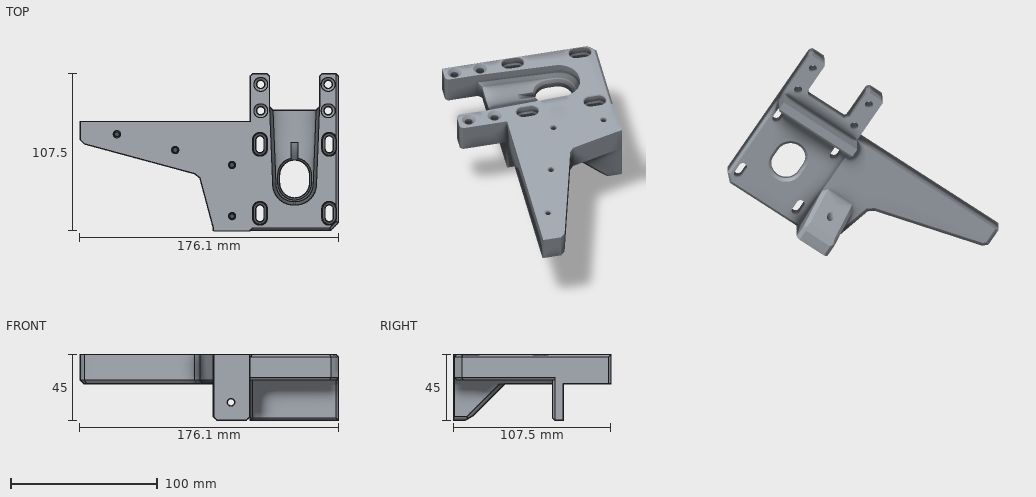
import cadquery as cq
import math

length = 176.1
depth = 107.5
top = 45.0

arm_bottom = 24.8
block_bottom = 27.5

arm_back = 74.8
arm_tip_front = 62.3
arm_tip_chamfer = 3.0
arm_bend_start = (78.0, 39.1)
arm_bend_end = (81.5, 36.3)
wall_tilt = math.radians(15)
arm_edge_chamfer = 2.6

block_left = 115.9
block_front = 0.5
block_corner = 5.3
block_chamfer = 1.8

foot_left = 90.7
foot_right = block_left
foot_base = 10.2
foot_front_chamfer = 0.5
foot_edge_chamfer = 2.6
foot_toe_start = 7.7
foot_toe_rise = 3.2
foot_hole_diameter = 5.0
foot_hole_x = 102.8
foot_hole_z = 12.3

panel_front = 67.5
panel_chamfer = 1.5

center_x = 146.2
gap_half_width = 17.0
gap_front = 82.5
gap_corner = 2.5
finger_chamfer = 1.8

pocket_floor = 35.4
pocket_arc_y = 32.0
pocket_half_width = 15.0
pocket_arc_radius = 14.3
ledge_width = 2.3
ledge_height = 2.6

opening_width = 20.3
opening_travel = 5.5
opening_y = 35.5
opening_chamfer = 1.4
opening_chamfer_height = 2.1
opening_relief = 2.0
ramp_width = 4.5
ramp_start = 60.4
ramp_end = 47.5
ramp_depth = 5.1

screw_diameter = 5.5
slot_head_width = 9.2
slot_head_depth = 5.5
finger_hole_x = (123.1, 169.0)
finger_hole_y = (82.0, 100.0)
countersink_diameter = 9.5
slot_x = (122.5, 169.8)
slot_y = (12.2, 59.2)
slot_travel = 6.0
slot_mouth_width = 10.2

pin_point = (25.0, 66.0)
blind_diameter = 3.3
tap_points = ((64.8, 55.3), (103.5, 45.0), (103.5, 10.2))
tap_relief_diameter = 4.0
tap_relief_depth = 1.0
blind_mouth_diameter = 5.0
blind_depth = 10.5


def prism(points, low, high):
    """Vertical prism over a plan outline."""
    return cq.Workplane("XY").workplane(offset=low).polyline(points).close().extrude(high - low)


def box(x_range, y_range, z_range):
    """Box between two limits on each axis."""
    (x0, x1), (y0, y1), (z0, z1) = x_range, y_range, z_range
    return prism([(x0, y0), (x1, y0), (x1, y1), (x0, y1)], z0, z1)


def bore(x, y, diameter, bottom):
    """Round cutter from the top face down to a level."""
    return cq.Workplane("XY").workplane(offset=bottom).center(x, y).circle(diameter / 2).extrude(top - bottom)


def countersink(x, y, mouth, diameter):
    """90 degree cone that opens at the top face."""
    height = (mouth - diameter) / 2
    cone = cq.Solid.makeCone(diameter / 2, mouth / 2, height)
    return cq.Workplane(cone.translate(cq.Vector(x, y, top - height)))


def oval(x, y, width, travel, low, high):
    """Vertical slot cutter, elongated along Y."""
    plane = cq.Workplane("XY").workplane(offset=low).center(x, y)
    return plane.slot2D(width + travel, width, 90).extrude(high - low)


def oval_mouth(x, y, width, travel, level, rise, inset):
    """Chamfer cutter for the rim of an oval at a level; a negative rise points it down into the part."""
    plane = cq.Workplane("XY").workplane(offset=level).center(x, y)
    taper = math.degrees(math.atan2(inset, abs(rise)))
    return plane.slot2D(width + travel, width, 90).extrude(rise, taper=taper)


def make_arm():
    wall_end_x = arm_bend_end[0] + (arm_bend_end[1] - block_front) * math.tan(wall_tilt)
    outline = [
        (0, arm_back),
        (0, arm_tip_front),
        (arm_tip_chamfer, arm_tip_front - arm_tip_chamfer),
        arm_bend_start,
        arm_bend_end,
        (wall_end_x, block_front),
        (block_left, block_front),
        (block_left, arm_back),
    ]
    arm = prism(outline, arm_bottom, top)
    return arm.faces("<Z").edges("not (>X or <Y or >Y)").chamfer(arm_edge_chamfer)


def make_foot():
    column_back = arm_bend_end[1] - (foot_left - arm_bend_end[0]) / math.tan(wall_tilt)
    side = [
        (0, 0),
        (foot_base, 0),
        (foot_base + block_bottom, block_bottom),
        (column_back, block_bottom),
        (column_back, top),
        (0, top),
    ]
    side_plane = cq.Workplane("YZ").workplane(offset=foot_left)
    foot = side_plane.polyline(side).close().extrude(foot_right - foot_left)
    foot = foot.faces("<Z or <(0,-1,1)").edges("|Y or |(0,1,1)").chamfer(foot_edge_chamfer)
    foot = foot.edges("<Y and |Z").chamfer(foot_front_chamfer)
    toe = [(foot_toe_start, 0), (foot_base + foot_toe_rise, 0), (foot_base + foot_toe_rise, foot_toe_rise)]
    return foot.cut(cq.Workplane("YZ").polyline(toe).close().extrude(length))


def make_block():
    rear_front = panel_front + panel_chamfer
    front_outline = [
        (block_left, block_front),
        (length - block_corner, block_front),
        (length, block_front + block_corner),
        (length, rear_front),
        (block_left, rear_front),
    ]
    front = prism(front_outline, block_bottom, top)
    front = front.faces("<Z").edges("<Y or >X or (not (|X or |Y))").chamfer(block_chamfer)
    rear = box((block_left, length), (rear_front, depth), (arm_bottom, top))
    block = front.union(rear)
    block = block.faces(">Z").edges("not >Y").chamfer(block_chamfer)
    inner_x = block_left + block_chamfer
    mitre = [
        (block_left, block_front),
        (inner_x, block_front + block_chamfer),
        (inner_x, depth),
        (block_left, depth),
    ]
    return block.union(prism(mitre, top - block_chamfer, top))


def make_panel():
    panel = box((block_left, length), (panel_front, arm_back), (0, block_bottom))
    return panel.faces("<Y").edges("not >Z").chamfer(panel_chamfer)


def gap_cutter():
    """Space between the fingers, with bevelled inner corners and a flare that bevels the finger ends."""
    half = gap_half_width
    right = [
        (half - gap_corner, gap_front),
        (half, gap_front + gap_corner),
        (half, depth - finger_chamfer),
        (half + finger_chamfer, depth),
    ]
    left = [(-x, y) for x, y in reversed(right)]
    outline = [(center_x + x, y) for x, y in right + left]
    return prism(outline, arm_bottom, top)


def finger_corner_cutter(corner_x, inward):
    """Triangle that bevels the outer end corner of a finger."""
    reach = inward * finger_chamfer
    points = [(corner_x, depth), (corner_x + reach, depth), (corner_x, depth - finger_chamfer)]
    return prism(points, arm_bottom, top)


def pocket_outline(level):
    """Outline open towards the gap, with two corner arcs joined by a short flat at the closed end."""
    diagonal = pocket_arc_radius * math.sqrt(0.5)
    flat = pocket_half_width - pocket_arc_radius
    end_y = pocket_arc_y - pocket_arc_radius
    taper_start = gap_front + gap_corner
    left = center_x - pocket_half_width
    right = center_x + pocket_half_width
    return (
        cq.Workplane("XY").workplane(offset=level)
        .moveTo(center_x - gap_half_width, depth)
        .lineTo(center_x - gap_half_width, taper_start)
        .lineTo(left, pocket_arc_y)
        .threePointArc((center_x - flat - diagonal, pocket_arc_y - diagonal), (center_x - flat, end_y))
        .lineTo(center_x + flat, end_y)
        .threePointArc((center_x + flat + diagonal, pocket_arc_y - diagonal), (right, pocket_arc_y))
        .lineTo(center_x + gap_half_width, taper_start)
        .lineTo(center_x + gap_half_width, depth)
        .close()
    )


def pocket_cutter():
    ledge_top = pocket_floor + ledge_height
    slope = math.degrees(math.atan2(ledge_width, ledge_height))
    walls = pocket_outline(ledge_top).extrude(top - ledge_top)
    return walls.union(pocket_outline(ledge_top).extrude(-ledge_height, taper=slope))


def opening_cutter():
    hole = oval(center_x, opening_y, opening_width, opening_travel, arm_bottom, pocket_floor)
    mouth_width = opening_width + 2 * opening_chamfer
    mouth_rise = -opening_chamfer_height
    mouth = oval_mouth(
        center_x, opening_y, mouth_width, opening_travel, pocket_floor, mouth_rise, opening_chamfer
    )
    relief_width = opening_width + 2 * opening_relief
    relief = oval_mouth(
        center_x, opening_y, relief_width, opening_travel, block_bottom, opening_relief, opening_relief
    )
    side = [(ramp_start, pocket_floor), (ramp_end, pocket_floor), (ramp_end, pocket_floor - ramp_depth)]
    ramp_plane = cq.Workplane("YZ").workplane(offset=center_x - ramp_width / 2)
    ramp = ramp_plane.polyline(side).close().extrude(ramp_width)
    return hole.union(mouth).union(relief).union(ramp)


def slot_cutter(x, y):
    through = oval(x, y, screw_diameter, slot_travel, arm_bottom, top)
    head = oval(x, y, slot_head_width, slot_travel, top - slot_head_depth, top)
    mouth_chamfer = (slot_mouth_width - slot_head_width) / 2
    mouth = oval_mouth(x, y, slot_mouth_width, slot_travel, top, -mouth_chamfer, mouth_chamfer)
    return through.union(head).union(mouth)


def pin_cutter(x, y):
    hole = bore(x, y, blind_diameter, top - blind_depth)
    return hole.union(countersink(x, y, blind_mouth_diameter, blind_diameter))


def tap_cutter(x, y):
    hole = bore(x, y, blind_diameter, top - blind_depth)
    relief = bore(x, y, tap_relief_diameter, top - tap_relief_depth)
    return hole.union(relief).union(countersink(x, y, blind_mouth_diameter, tap_relief_diameter))


result = make_arm().union(make_foot()).union(make_block()).union(make_panel())
result = result.cut(gap_cutter()).cut(pocket_cutter()).cut(opening_cutter())
result = result.cut(finger_corner_cutter(block_left, 1)).cut(finger_corner_cutter(length, -1))

for x in finger_hole_x:
    for y in finger_hole_y:
        result = result.cut(bore(x, y, screw_diameter, arm_bottom))
        result = result.cut(countersink(x, y, countersink_diameter, screw_diameter))

for x in slot_x:
    for y in slot_y:
        result = result.cut(slot_cutter(x, y))

result = result.cut(pin_cutter(*pin_point))
for x, y in tap_points:
    result = result.cut(tap_cutter(x, y))

foot_hole_plane = cq.Workplane("XZ").center(foot_hole_x, foot_hole_z)
result = result.cut(foot_hole_plane.circle(foot_hole_diameter / 2).extrude(-panel_front))